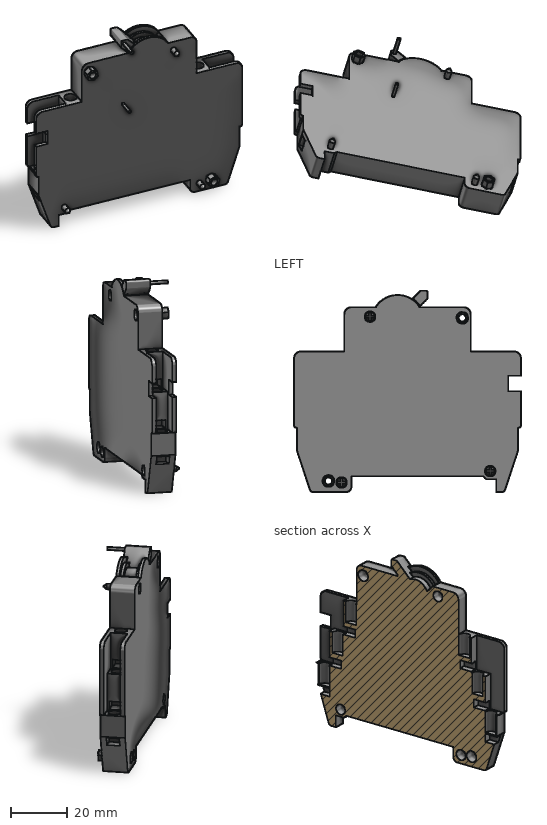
import cadquery as cq
import math

width = 9.0
half_length = 40.3
waist_half_length = 39.25
shoulder_z = 50.0
crown_half_length = 22.45
crown_z = 65.7
waist_z = 22.8
taper_z = 14.75
taper_run = 4.85
foot_half_length = waist_half_length - taper_run
rail_z = 5.6
rail_lip_z = 4.6
rail_back_y = 19.85
rail_front_y = -31.45
rail_lip_y = -27.9
corner_radius = 2.5
heel_radius = 2.0
toe_radius = 1.5
flange_radius = 1.0

notch_depth = 4.5
notch_bottom_z = 35.9
notch_top_z = 41.3

cheek = 1.5
step_1_y = 28.1
step_2_y = 34.2
middle_deck_z = 36.65
lower_deck_z = 23.0
terminal_diameter = 4.4
terminal_depth = 8.0
upper_terminal_y = 24.85
middle_terminal_y = 30.65
lower_terminal_y = 36.4
window_width = 4.7
window_height = 3.0
window_depth = 5.0
window_bottoms = {"upper": 37.0, "middle": 23.4, "lower": 11.35}

wheel_y = 3.48
wheel_z = 60.8
wheel_radius = 9.24
step_radius = 7.28
hub_radius = 5.6
rim = 1.1
step_rim = 2.2
stem_gap = 0.3
stem_overlap = 0.5
lever_thickness = 3.8
lever_offset = lever_thickness / math.sqrt(2)
lever_angle = 45.0
lever_start = wheel_radius + 0.25
lever_end_y = -7.15
lever_round = 0.6
top_z = 71.57

lever_pin = {"y": -5.9, "z": 70.2, "diameter": 1.2, "end": 15.7}
side_pin = {"y": -6.4, "z": 44.85, "diameter": 1.0, "end": 14.75}

screw_centres = [(13.3, 62.3), (23.4, 3.45), (-29.35, 7.5)]
screw_bore = 3.8
screw_bore_depth = 6.0
head_diameter = 3.5
head_height = 1.2
cross_length = 2.9
cross_width = 0.85
cross_floor = 0.4
shank_diameter = 2.1
shank_end = 11.85
tip_end = 13.15
tip_diameter = 0.3

sleeve_centres = [(-19.45, 61.9, 41.0), (28.05, 4.0, 18.0)]
sleeve_bore = 4.1
sleeve_corners = 4.4
sleeve_hole = 2.5
sleeve_start = 6.0
sleeve_end = 11.7


def side_plane(x=0.0):
    """Sketch plane across X: local x is Y, local y is Z, extruding towards +X."""
    return cq.Workplane("YZ", origin=(x, 0, 0))


def disc(y, z, diameter, x_start, x_end):
    return side_plane(x_start).center(y, z).circle(diameter / 2).extrude(x_end - x_start)


def box(x0, x1, y0, y1, z0, z1):
    return cq.Workplane("XY").box(x1 - x0, y1 - y0, z1 - z0, centered=False).translate((x0, y0, z0))


def round_edges(solid, points, radius):
    """Round the X-parallel edges passing through the given (y, z) points."""
    reach = 0.05
    for y, z in points:
        selector = cq.selectors.BoxSelector(
            (-reach, y - reach, z - reach), (width + reach, y + reach, z + reach)
        )
        solid = solid.edges(selector).fillet(radius)
    return solid


def housing():
    outline = [
        (foot_half_length, 0),
        (waist_half_length, taper_z),
        (waist_half_length, waist_z),
        (half_length, waist_z),
        (half_length, shoulder_z),
        (crown_half_length, shoulder_z),
        (crown_half_length, crown_z),
        (-crown_half_length, crown_z),
        (-crown_half_length, shoulder_z),
        (-half_length, shoulder_z),
        (-half_length, waist_z),
        (-waist_half_length, waist_z),
        (-waist_half_length, taper_z),
        (-foot_half_length, 0),
        (rail_front_y, 0),
        (rail_front_y, rail_lip_z),
        (rail_lip_y, rail_lip_z),
        (rail_lip_y + rail_z - rail_lip_z, rail_z),
        (rail_back_y, rail_z),
        (rail_back_y, 0),
    ]
    body = side_plane().polyline(outline).close().extrude(width)
    for side in (1, -1):
        body = round_edges(
            body,
            [(side * crown_half_length, crown_z), (side * half_length, shoulder_z)],
            corner_radius,
        )
        body = round_edges(body, [(side * half_length, waist_z)], flange_radius)
        body = round_edges(body, [(side * foot_half_length, 0)], toe_radius)
    body = round_edges(body, [(rail_back_y, 0)], heel_radius)
    notch = box(0, width, -half_length, -half_length + notch_depth, notch_bottom_z, notch_top_z)
    return body.cut(notch)


def terminal_cuts():
    """Stepped channel, terminal holes and wire windows of the -Y end."""
    inner, outer = cheek, width - cheek
    cuts = box(inner, outer, -half_length, -step_1_y, middle_deck_z, shoulder_z)
    cuts = cuts.union(box(inner, outer, -half_length, -step_2_y, lower_deck_z, shoulder_z))

    decks = [
        (upper_terminal_y, shoulder_z),
        (middle_terminal_y, middle_deck_z),
        (lower_terminal_y, lower_deck_z),
    ]
    for y, deck_z in decks:
        hole = cq.Workplane("XY", origin=(width / 2, -y, deck_z)).circle(terminal_diameter / 2)
        cuts = cuts.union(hole.extrude(-terminal_depth))

    faces = {"upper": step_1_y, "middle": step_2_y, "lower": waist_half_length}
    window_x = (width - window_width) / 2
    for name, face_y in faces.items():
        z = window_bottoms[name]
        cuts = cuts.union(
            box(window_x, width - window_x, -face_y, -face_y + window_depth, z, z + window_height)
        )
    return cuts


def wheel_sector():
    """Full-width wedge swept by the lever between its two end positions."""
    reach = 2 * wheel_radius
    corner = (wheel_y, wheel_z - lever_offset)
    outline = [
        corner,
        (corner[0] + reach, corner[1] + reach),
        (corner[0] - reach, corner[1] + reach),
    ]
    return side_plane().polyline(outline).close().extrude(width)


def wheel_groove():
    """Stepped groove around the hub, limited to the lever's sweep."""
    outer = disc(wheel_y, wheel_z, 2 * wheel_radius, rim, width - rim)
    outer = outer.cut(disc(wheel_y, wheel_z, 2 * step_radius, rim, width - rim))
    inner = disc(wheel_y, wheel_z, 2 * step_radius, step_rim, width - step_rim)
    inner = inner.cut(disc(wheel_y, wheel_z, 2 * hub_radius, step_rim, width - step_rim))
    return outer.union(inner).intersect(wheel_sector())


def lever_bar(start, end, margin):
    """Radial bar of the lever between two distances from the wheel axis."""
    bar = box(margin, width - margin, start, end, -lever_thickness / 2, lever_thickness / 2)
    bar = bar.rotate((0, 0, 0), (1, 0, 0), 180 - lever_angle)
    return bar.translate((0, wheel_y, wheel_z))


def lever():
    reach = 2 * wheel_radius
    grip = lever_bar(lever_start, reach, 0)
    grip = grip.intersect(box(0, width, lever_end_y, wheel_y, wheel_z, top_z))
    upper_y = wheel_y + wheel_z + lever_offset - top_z
    lower_z = wheel_z + wheel_y - lever_end_y - lever_offset
    rounded = [(upper_y, top_z), (lever_end_y, top_z), (lever_end_y, lower_z)]
    grip = round_edges(grip, rounded, lever_round)
    stem = lever_bar(step_radius, lever_start, rim + stem_gap)
    root = lever_bar(hub_radius - stem_overlap, step_radius, step_rim + stem_gap)
    return grip.union(stem).union(root)


def pin(spec):
    return disc(spec["y"], spec["z"], spec["diameter"], width - cheek, spec["end"])


def screw(y, z):
    """Dome-headed cross-recess screw with a pointed shank."""
    head_radius = head_diameter / 2
    dome_radius = (head_radius**2 + head_height**2) / (2 * head_height)
    head_top = screw_bore_depth - head_height
    dome = cq.Workplane("XY").sphere(dome_radius).translate((head_top + dome_radius, y, z))
    head = dome.intersect(disc(y, z, head_diameter, head_top, screw_bore_depth))
    recess_floor = screw_bore_depth - cross_floor
    cross = side_plane(head_top).center(y, z).rect(cross_length, cross_width)
    cross = cross.extrude(recess_floor - head_top)
    cross = cross.union(cross.rotate((0, y, z), (1, y, z), 90))
    shank = disc(y, z, shank_diameter, screw_bore_depth, shank_end)
    tip = side_plane(shank_end).center(y, z).circle(shank_diameter / 2)
    tip = tip.workplane(offset=tip_end - shank_end).circle(tip_diameter / 2).loft()
    return head.cut(cross).union(shank).union(tip)


def sleeve(y, z, turn):
    """Hexagon sleeve whose corners bite into its round bore."""
    body = side_plane(sleeve_start).polygon(6, sleeve_corners).circle(sleeve_hole / 2)
    body = body.extrude(sleeve_end - sleeve_start)
    return body.rotate((0, 0, 0), (1, 0, 0), turn).translate((0, y, z))


near_end = terminal_cuts()
result = housing().cut(near_end).cut(near_end.mirror("XZ"))
result = result.union(disc(wheel_y, wheel_z, 2 * wheel_radius, 0, width))
result = result.cut(wheel_groove()).union(lever())
result = result.union(pin(lever_pin)).union(pin(side_pin))
for screw_y, screw_z in screw_centres:
    result = result.cut(disc(screw_y, screw_z, screw_bore, 0, screw_bore_depth))
    result = result.union(screw(screw_y, screw_z))
for sleeve_y, sleeve_z, sleeve_turn in sleeve_centres:
    result = result.cut(disc(sleeve_y, sleeve_z, sleeve_bore, 0, width))
    result = result.union(sleeve(sleeve_y, sleeve_z, sleeve_turn))